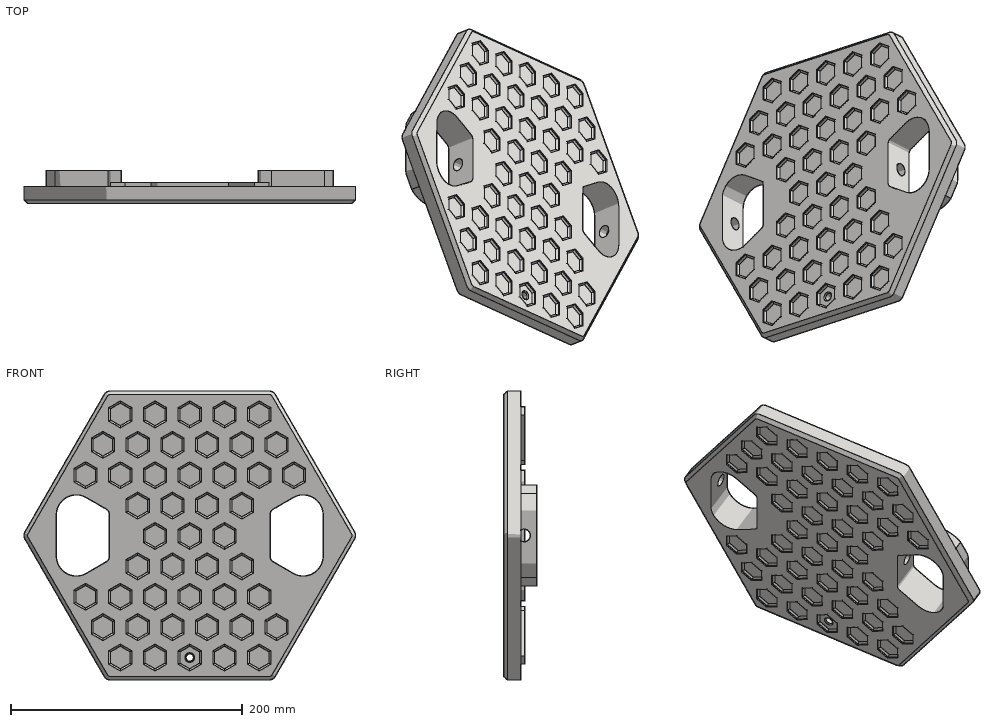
import cadquery as cq
import math

PLATE_WIDTH = 286.7
PLATE_HEIGHT = 250.0
PLATE_THICKNESS = 15.0
TOTAL_DEPTH = 28.7
FRONT_CHAMFER = 3.2

POCKET_WIDTH = 20.0
POCKET_DEPTH = 3.0
POCKET_FLOOR_BEVEL = 1.58
POCKET_FIELD_WIDTH = 180.0
POCKET_FIELD_HEIGHT = 210.2
POCKET_TOP_Z = 104.6
POCKETS_PER_ROW = [5, 6, 7, 4, 3, 4, 7, 6, 5]
SHORT_ROW = 6
POCKET_PITCH = POCKET_FIELD_WIDTH / (max(POCKETS_PER_ROW) - 1)
POCKET_ROW_PITCH = POCKET_FIELD_HEIGHT / (len(POCKETS_PER_ROW) - 1)

HOLE_DIAMETER = 6.3
COUNTERSINK_DIAMETER = 8.3
COUNTERSINK_ANGLE = 90.0

SLOT_INNER_X = 69.7
SLOT_OUTER_X = 115.3
SLOT_END_Z = 17.8
SLOT_END_RADIUS = 17.2
SLOT_INNER_RADIUS = 4.3
COLLAR_WALL = 9.0
COLLAR_EDGE_MARGIN = 6.0

BAR_INNER_X = 59.0
BAR_WIDTH = 12.0
BAR_LENGTH = 71.7

CROSS_HOLE_DIAMETER = 11.0
CROSS_HOLE_Y = 17.5

PAD_HEIGHT = 3.5
HUB_WIDTH = 76.8
HUB_HEIGHT = 113.0
HUB_CUT_X = 12.0
HUB_CUT_Z = 8.3
HUB_CORNER_RADIUS = 4.5
ARM_WIDTH = 14.0
ARM_TIP = 70.8
ARM_SHOULDER = 78.8
ARM_END = 124.5
ARM_ANGLES = [60, 120, 240, 300]

TAN_30 = math.tan(math.radians(30))
COS_30 = math.cos(math.radians(30))
SIN_30 = math.sin(math.radians(30))


def sketch_plane(y):
    """Sketch plane at depth y: local x is -X, local y is Z, extrusion runs towards +Y."""
    return cq.Workplane(cq.Plane(origin=(0, y, 0), xDir=(-1, 0, 0), normal=(0, 1, 0)))


def hexagon_prism(width_across_flats, length):
    diameter = width_across_flats / COS_30
    return sketch_plane(0).polygon(6, diameter).extrude(length)


def make_plate():
    sharp_corner = PLATE_HEIGHT / 2 / COS_30
    corner_radius = (sharp_corner - PLATE_WIDTH / 2) / (1 / COS_30 - 1)
    plate = hexagon_prism(PLATE_HEIGHT, PLATE_THICKNESS).edges("|Y").fillet(corner_radius)
    return plate.faces("<Y").chamfer(FRONT_CHAMFER)


def make_pockets():
    """Staggered rows of pockets, each turned to stand on a corner."""
    pocket = hexagon_prism(POCKET_WIDTH, POCKET_DEPTH)
    pocket = pocket.faces(">Y").chamfer(POCKET_FLOOR_BEVEL)
    pocket = pocket.rotate((0, 0, 0), (0, 1, 0), 30).val()
    pockets = []
    for row, count in enumerate(POCKETS_PER_ROW):
        z = POCKET_TOP_Z - row * POCKET_ROW_PITCH
        first_x = -(count - 1) / 2 * POCKET_PITCH
        present = count - 1 if row == SHORT_ROW else count
        for column in range(present):
            pockets.append(pocket.translate(cq.Vector(first_x + column * POCKET_PITCH, 0, z)))
    return cq.Workplane(cq.Compound.makeCompound(pockets))


def make_countersunk_hole():
    """Hole whose countersink starts on the pocket floor."""
    hole = sketch_plane(0).circle(HOLE_DIAMETER / 2).extrude(TOTAL_DEPTH)
    wall_angle = COUNTERSINK_ANGLE / 2
    sink_depth = (COUNTERSINK_DIAMETER - HOLE_DIAMETER) / 2 / math.tan(math.radians(wall_angle))
    sink = sketch_plane(POCKET_DEPTH).circle(COUNTERSINK_DIAMETER / 2)
    sink = sink.extrude(sink_depth, taper=wall_angle)
    return hole.union(sink).translate((0, 0, POCKET_TOP_Z - POCKET_FIELD_HEIGHT))


def make_slot():
    """Handle slot on the -X side: a trapezium, its sides sloping 30 degrees, with rounded corners."""
    tangent_x = SLOT_OUTER_X - SLOT_END_RADIUS * (1 + SIN_30)
    tangent_z = SLOT_END_Z + SLOT_END_RADIUS * COS_30
    inner_z = tangent_z - (tangent_x - SLOT_INNER_X) * TAN_30
    outer_z = tangent_z + (SLOT_OUTER_X - tangent_x) * TAN_30
    corners = [
        (SLOT_INNER_X, -inner_z),
        (SLOT_OUTER_X, -outer_z),
        (SLOT_OUTER_X, outer_z),
        (SLOT_INNER_X, inner_z),
    ]
    slot = sketch_plane(0).polyline(corners).close().extrude(TOTAL_DEPTH)
    slot = slot.edges("|Y and <X").fillet(SLOT_END_RADIUS)
    return slot.edges("|Y and >X").fillet(SLOT_INNER_RADIUS)


def make_collar(slot):
    """Wall around the slot, held clear of the plate's edge, with its bar on the inner side."""
    outline = slot.faces("<Y").wires().val().offset2D(COLLAR_WALL)[0]
    collar = sketch_plane(0).newObject([outline]).toPending().extrude(TOTAL_DEPTH)
    collar = collar.intersect(hexagon_prism(PLATE_HEIGHT - 2 * COLLAR_EDGE_MARGIN, TOTAL_DEPTH))
    bar = sketch_plane(PLATE_THICKNESS).center(BAR_INNER_X + BAR_WIDTH / 2, 0)
    bar = bar.slot2D(BAR_LENGTH, BAR_WIDTH, 90).extrude(TOTAL_DEPTH - PLATE_THICKNESS)
    return collar.union(bar)


def make_cross_hole():
    outer_x = SLOT_OUTER_X + COLLAR_WALL
    start = cq.Plane(origin=(-outer_x, CROSS_HOLE_Y, 0), xDir=(0, 1, 0), normal=(1, 0, 0))
    return cq.Workplane(start).circle(CROSS_HOLE_DIAMETER / 2).extrude(outer_x - BAR_INNER_X)


def make_hub():
    """Rectangle with its four corners cut at a slant, and rounded."""
    side_x = HUB_WIDTH / 2
    side_z = HUB_HEIGHT / 2
    flat_x = side_x - HUB_CUT_X
    flat_z = side_z - HUB_CUT_Z
    upper_half = [(side_x, flat_z), (flat_x, side_z), (-flat_x, side_z), (-side_x, flat_z)]
    lower_half = [(-x, -z) for x, z in upper_half]
    hub = sketch_plane(PLATE_THICKNESS).polyline(upper_half + lower_half).close().extrude(PAD_HEIGHT)
    return hub.edges("|Y").fillet(HUB_CORNER_RADIUS)


def make_arm(angle):
    """Bar pointing away from the centre, with its tip towards the hub."""
    side = ARM_WIDTH / 2
    corners = [
        (ARM_TIP, 0),
        (ARM_SHOULDER, side),
        (ARM_END, side),
        (ARM_END, -side),
        (ARM_SHOULDER, -side),
    ]
    arm = sketch_plane(PLATE_THICKNESS).polyline(corners).close().extrude(PAD_HEIGHT)
    return arm.rotate((0, 0, 0), (0, 1, 0), angle)


left_slot = make_slot()
left_collar = make_collar(left_slot)
left_cuts = left_slot.union(make_cross_hole())

result = make_plate().union(make_hub())
for arm_angle in ARM_ANGLES:
    result = result.union(make_arm(arm_angle))
result = result.union(left_collar).union(left_collar.mirror("YZ"))
result = result.cut(left_cuts).cut(left_cuts.mirror("YZ"))
result = result.cut(make_pockets()).cut(make_countersunk_hole())